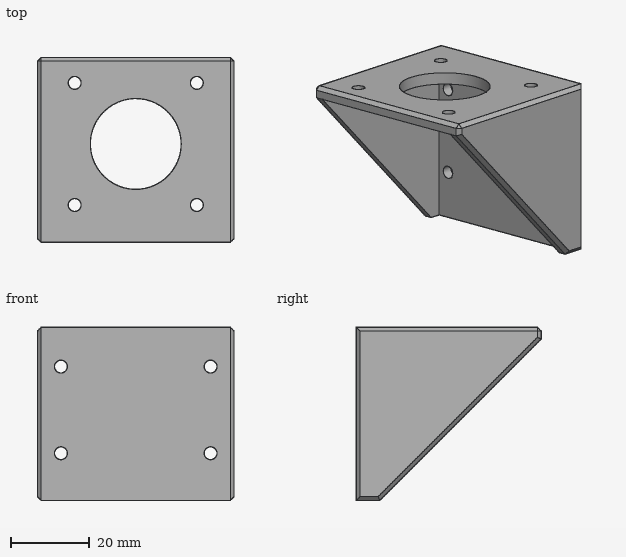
import cadquery as cq

width = 50.0
depth = 47.0
height = 44.0
wall = 3.0
chamfer = 1.0

opening_diameter = 23.0
screw_diameter = 3.2
motor_pitch = 31.0
motor_centre_y = (wall + depth) / 2

mount_pitch_x = 38.0
mount_pitch_z = 22.0
mount_bottom_z = 12.0
mount_centre_z = mount_bottom_z + mount_pitch_z / 2

slope_run = height - wall
foot_depth = depth - slope_run


def make_body():
    """Triangular prism along X, chamfered round both side faces and along the back top edge."""
    body = (
        cq.Workplane("YZ")
        .moveTo(0, 0)
        .lineTo(foot_depth, 0)
        .lineTo(depth, height - wall)
        .lineTo(depth, height)
        .lineTo(0, height)
        .close()
        .extrude(width / 2, both=True)
    )
    back_top_edge = cq.selectors.NearestToPointSelector((0, depth, height))
    return body.faces("<X or >X").edges().add(body.edges(back_top_edge)).chamfer(chamfer)


def make_cavity():
    """Space under the plate, between the side gussets and behind the mounting wall."""
    return cq.Workplane("XY").box(
        width - 2 * wall, depth - wall, height - wall, centered=(True, False, False)
    ).translate((0, wall, 0))


def make_motor_holes():
    """Round opening and four screw holes through the top plate."""
    plate = cq.Workplane("XY", origin=(0, motor_centre_y, height - wall))
    opening = plate.circle(opening_diameter / 2).extrude(wall)
    screws = plate.rect(motor_pitch, motor_pitch, forConstruction=True).vertices()
    return opening.union(screws.circle(screw_diameter / 2).extrude(wall))


def make_mount_holes():
    """Four screw holes through the mounting wall."""
    face = cq.Workplane("XZ", origin=(0, wall, mount_centre_z))
    screws = face.rect(mount_pitch_x, mount_pitch_z, forConstruction=True).vertices()
    return screws.circle(screw_diameter / 2).extrude(wall)


result = make_body().cut(make_cavity()).cut(make_motor_holes()).cut(make_mount_holes())